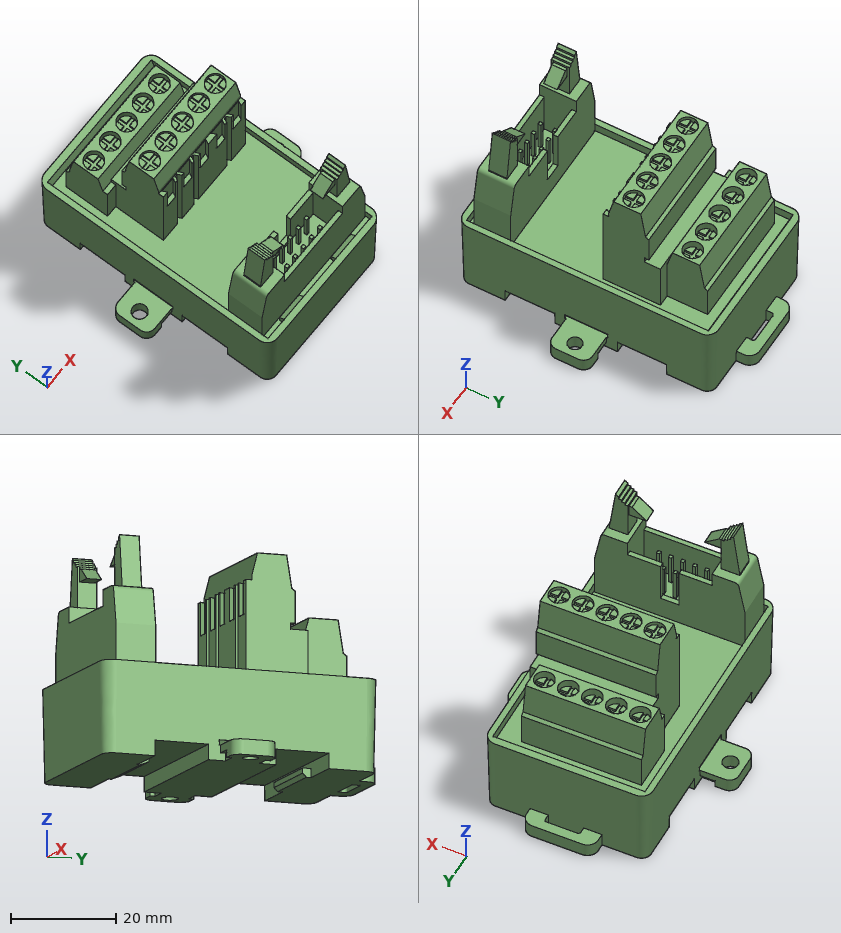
import cadquery as cq
import math

base_width = 34.0
base_length = 55.2
base_corner = 2.1
housing_height = 18.0
wall_draft = 0.4
draft_angle = math.degrees(math.atan(wall_draft / housing_height))

floor_z = 16.0
cavity_width = 32.2
cavity_front_y = -26.6
cavity_back_y = 26.4
cavity_back_slope = 0.65

foot_height = 3.0
rail_notches = ((-17.6, -6.7), (7.05, 17.8))

snap_width = 6.0
snap_offset = 8.0
snap_reach = 1.2
snap_drop = 1.0

hook_width = 15.2
back_hook_reach = 1.7
front_hook_reach = 2.45
front_hook_toe = 0.6
front_hook_tip_z = 1.4
front_hook_top_z = 1.55
back_hook_top_z = 1.75
hook_bevel = 0.75

tab_center_y = 0.2
tab_width = 8.9
tab_tip_x = 24.3
tab_corner = 2.0
tab_hole_x = 21.3
left_hole_diameter = 3.2
right_hole_diameter = 3.0
tab_relief_tip_x = 20.2
tab_relief_height = 1.5
tab_relief_depth = 1.0
tab_window_width = 9.4
tab_window_rise = 1.0

loop_width = 15.2
loop_tip_y = 31.51
loop_corner = 2.3
loop_slot_width = 7.5
loop_slot_end_y = 29.4
loop_slot_corner = 0.5

pole_pitch = 5.08
pole_count = 5
row_width = pole_pitch * pole_count
row_offset = pole_pitch / 4
lower_x = -row_offset
upper_x = row_offset

lower_front_y = 13.6
lower_top_z = 30.1
lower_shelf_z = 26.0
lower_well_diameter = 4.1
lower_well_depth = 1.7
upper_front_y = 2.15
upper_top_z = 41.4
upper_shelf_z = 36.1
upper_well_diameter = 4.13
upper_well_depth = 0.8

shelf_depth = 1.15
shelf_step = 0.9
front_lean = 2.3
top_depth = 5.95
back_lean = 1.05
back_lean_height = 6.4
back_bulge = 0.7
back_bulge_height = 0.5

bridge_back_y = 14.7
bridge_z = 27.1
undercut_z = 28.3
undercut_depth = 0.95

cross_width = 0.75
cross_depth = 0.5

pocket_mouth = 2.45
pocket_root = 3.4
pocket_depth = 1.0
pocket_height = 6.5
groove_mouth = 1.4
groove_root = 0.5
groove_depth = 0.9
grooved_joints = (1, 2, 4)

connector_width = 31.9
connector_front_y = -25.1
connector_depth = 8.1
connector_mid_y = connector_front_y + connector_depth / 2
connector_top_z = 33.05
connector_knee_z = 25.4
connector_lean = 1.45
shoulder_radius = 1.0
well_width = 17.9
well_length = 6.0
well_floor_z = 20.0
rim_z = 29.9
key_width = 3.9
key_floor_z = 21.0

pin_size = 0.7
pin_pitch = 2.54
pin_row_spacing = 3.2
pin_columns = 5
pin_top_z = 26.9

latch_width = 4.0
nose_width = 3.0
latch_outer_x = 13.85
latch_tip_x = 12.5
latch_tip_z = 43.25
latch_inner_x = 9.88
nose_tip_x = 6.12
nose_z = 38.2
ridge_count = 5
ridged_end_x = 9.2


def box(x0, x1, y0, y1, z0, z1):
    """Block given by its limits along each axis."""
    return cq.Workplane("XY").box(x1 - x0, y1 - y0, z1 - z0, centered=False).translate((x0, y0, z0))


def prism_along_x(points, width, center_x=0.0):
    """Solid with a (y, z) outline, centred on center_x."""
    start = cq.Workplane("YZ", origin=(center_x - width / 2, 0, 0))
    return start.polyline(points).close().extrude(width)


def prism_along_y(points, depth, center_y):
    """Solid with an (x, z) outline, centred on center_y."""
    start = cq.Workplane("XZ", origin=(0, center_y + depth / 2, 0))
    return start.polyline(points).close().extrude(depth)


def make_shell():
    """Drafted tray with an open top and rail notches across its underside."""
    outline = cq.Sketch().rect(base_width, base_length).vertices().fillet(base_corner)
    shell = cq.Workplane("XY").placeSketch(outline).extrude(housing_height, taper=-draft_angle)
    cavity = prism_along_x([
        (cavity_front_y, floor_z),
        (cavity_back_y - cavity_back_slope, floor_z),
        (cavity_back_y, housing_height),
        (cavity_front_y, housing_height),
    ], cavity_width)
    shell = shell.cut(cavity)
    for front_y, back_y in rail_notches:
        shell = shell.cut(box(-base_width, base_width, front_y, back_y, 0, foot_height))
    return shell


def make_mounting_tab(hole_diameter):
    """Side tab on -X, with its underside relieved along both flanks."""
    half = tab_width / 2
    tab = box(-tab_tip_x, 0, tab_center_y - half, tab_center_y + half, 0, foot_height)
    tab = tab.edges("|Z and <X").fillet(tab_corner)
    for side in (-1, 1):
        flank_y = tab_center_y + side * (half - tab_relief_depth / 2)
        relief = cq.Workplane("XY").box(tab_relief_tip_x, tab_relief_depth, tab_relief_height,
                                        centered=(False, True, False))
        tab = tab.cut(relief.translate((-tab_relief_tip_x, flank_y, 0)))
    hole = cq.Workplane("XY").center(-tab_hole_x, tab_center_y).circle(hole_diameter / 2).extrude(foot_height)
    return tab.cut(hole)


def make_tab_window():
    """Wedge of clearance above the -X tab, deepest at the outer face of the housing."""
    inner_x = -base_width / 2 + tab_window_rise
    outer_x = -base_width / 2 - wall_draft
    top_z = foot_height + tab_window_rise
    wedge = [(inner_x, foot_height), (outer_x, foot_height), (outer_x, top_z), (-base_width / 2, top_z)]
    return prism_along_y(wedge, tab_window_width, tab_center_y)


def make_release_loop():
    """Slotted tab behind the housing."""
    half = loop_width / 2
    loop = box(-half, half, rail_notches[1][1], loop_tip_y, 0, foot_height)
    loop = loop.edges("|Z and >Y").fillet(loop_corner)
    half_slot = loop_slot_width / 2
    slot = box(-half_slot, half_slot, base_length / 2, loop_slot_end_y, 0, foot_height)
    slot = slot.edges("|Z and >Y").fillet(loop_slot_corner)
    return loop.cut(slot)


def make_rail_hooks():
    """Hooks that reach into the rail notches from their far ends."""
    front_y = rail_notches[0][0]
    front_hook = prism_along_x([
        (front_y, 0),
        (front_y + front_hook_toe, 0),
        (front_y + front_hook_reach, hook_bevel),
        (front_y + front_hook_reach, front_hook_tip_z),
        (front_y, front_hook_top_z),
    ], hook_width)
    back_y = rail_notches[1][1]
    back_hook = prism_along_x([
        (back_y, 0),
        (back_y - back_hook_reach + hook_bevel, 0),
        (back_y - back_hook_reach, hook_bevel),
        (back_y - back_hook_reach, back_hook_top_z),
        (back_y, back_hook_top_z),
    ], hook_width)
    return front_hook.union(back_hook)


def make_snap(center_x):
    """Sloped snap on the front cavity wall."""
    inner_y = cavity_front_y + snap_reach
    return prism_along_x([
        (cavity_front_y, floor_z),
        (inner_y, floor_z),
        (inner_y, housing_height - snap_drop),
        (cavity_front_y, housing_height),
    ], snap_width, center_x)


def make_housing():
    body = make_shell()
    window = make_tab_window()
    body = body.cut(window).cut(window.mirror("YZ"))
    body = body.union(make_mounting_tab(left_hole_diameter))
    body = body.union(make_mounting_tab(right_hole_diameter).mirror("YZ"))
    body = body.union(make_release_loop()).union(make_rail_hooks())
    for center_x in (-snap_offset, snap_offset):
        body = body.union(make_snap(center_x))
    return body


def pole_positions(row_x):
    """X of each pole in a row."""
    first = row_x - pole_pitch * (pole_count - 1) / 2
    return [first + pole_pitch * index for index in range(pole_count)]


def head_outline(front_y, front_points, top_z):
    """Terminal row from the deck up its front, over the top and down to its bulging back."""
    top_front_y = front_y + front_lean
    top_back_y = top_front_y + top_depth
    lean_end_y = top_back_y + back_lean
    lean_end_z = top_z - back_lean_height
    return [(front_y, floor_z)] + front_points + [
        (top_front_y, top_z),
        (top_back_y, top_z),
        (lean_end_y, lean_end_z),
        (lean_end_y + back_bulge, lean_end_z - back_bulge_height),
    ]


def make_lower_row():
    shelf = [
        (lower_front_y, lower_shelf_z),
        (lower_front_y + shelf_depth, lower_shelf_z),
    ]
    outline = head_outline(lower_front_y, shelf, lower_top_z)
    back_y = outline[-1][0]
    return prism_along_x(outline + [(back_y, floor_z)], row_width, lower_x)


def make_upper_row():
    shelf_back_y = upper_front_y + shelf_depth
    shelf = [
        (upper_front_y, upper_shelf_z),
        (shelf_back_y, upper_shelf_z),
        (shelf_back_y, upper_shelf_z + shelf_step),
    ]
    outline = head_outline(upper_front_y, shelf, upper_top_z)
    back_y = outline[-1][0]
    outline += [
        (back_y, undercut_z),
        (back_y - undercut_depth, undercut_z),
        (back_y - undercut_depth, bridge_z),
        (bridge_back_y, bridge_z),
        (bridge_back_y, floor_z),
    ]
    return prism_along_x(outline, row_width, upper_x)


def make_screw_well(x, front_y, top_z, diameter, depth):
    """Round well over a crossed screw head."""
    y = front_y + front_lean + top_depth / 2
    floor = top_z - depth
    well = cq.Workplane("XY").circle(diameter / 2).extrude(depth)
    arm = cq.Workplane("XY").box(diameter, cross_width, cross_depth, centered=(True, True, False))
    cross = arm.union(arm.rotate((0, 0, 0), (0, 0, 1), 90))
    cross = cross.intersect(cq.Workplane("XY").circle(diameter / 2).extrude(cross_depth))
    return well.union(cross.translate((0, 0, -cross_depth))).translate((x, y, floor))


def make_front_recess(x, mouth, root, depth, bottom_z):
    """Recess in the front face of the upper row, running from bottom_z up to the shelf."""
    recess = cq.Workplane("XY", origin=(x, upper_front_y, bottom_z)).polyline([
        (-mouth / 2, 0),
        (mouth / 2, 0),
        (root / 2, depth),
        (-root / 2, depth),
    ])
    return recess.close().extrude(upper_shelf_z - bottom_z)


def make_terminal_block():
    block = make_lower_row().union(make_upper_row())
    for x in pole_positions(lower_x):
        well = make_screw_well(x, lower_front_y, lower_top_z, lower_well_diameter, lower_well_depth)
        block = block.cut(well)
    upper_poles = pole_positions(upper_x)
    for x in upper_poles:
        well = make_screw_well(x, upper_front_y, upper_top_z, upper_well_diameter, upper_well_depth)
        block = block.cut(well)
        pocket_z = upper_shelf_z - pocket_height
        block = block.cut(make_front_recess(x, pocket_mouth, pocket_root, pocket_depth, pocket_z))
    for joint in grooved_joints:
        x = upper_poles[joint] - pole_pitch / 2
        block = block.cut(make_front_recess(x, groove_mouth, groove_root, groove_depth, floor_z))
    return block


def make_connector_body():
    """Shrouded header with a tower at each end."""
    half = connector_width / 2
    body = prism_along_y([
        (-half, floor_z),
        (-half, connector_knee_z),
        (-half + connector_lean, connector_top_z),
        (half - connector_lean, connector_top_z),
        (half, connector_knee_z),
        (half, floor_z),
    ], connector_depth, connector_mid_y)
    body = body.faces(">Z").edges("|Y").fillet(shoulder_radius)
    half_well = well_width / 2
    back_y = connector_front_y + connector_depth
    body = body.cut(box(-half_well, half_well, connector_front_y, back_y, rim_z, connector_top_z))
    well_front_y = connector_mid_y - well_length / 2
    well_back_y = connector_mid_y + well_length / 2
    body = body.cut(box(-half_well, half_well, well_front_y, well_back_y, well_floor_z, rim_z))
    return body.cut(box(-key_width / 2, key_width / 2, well_back_y, back_y, key_floor_z, rim_z))


def make_pins():
    """Two rows of square contacts standing in the well."""
    pins = cq.Workplane("XY", origin=(0, connector_mid_y, well_floor_z))
    pins = pins.rarray(pin_pitch, pin_row_spacing, pin_columns, 2)
    return pins.rect(pin_size, pin_size).extrude(pin_top_z - well_floor_z)


def make_latch():
    """Latch on the -X tower: a leaning post with a stepped thumb rest and a pointed nose."""
    run = (latch_tip_x - ridged_end_x) / ridge_count
    drop = run * (latch_tip_z - nose_z) / (latch_tip_x - nose_tip_x)
    outline = [(-latch_outer_x, connector_top_z), (-latch_tip_x, latch_tip_z)]
    for step in range(1, ridge_count):
        x = -latch_tip_x + run * step
        z = latch_tip_z - drop * step
        outline += [(x, z), (x, z - drop)]
    outline += [
        (-ridged_end_x, latch_tip_z - drop * ridge_count),
        (-nose_tip_x, nose_z),
        (-latch_inner_x, nose_z),
        (-latch_inner_x, connector_top_z),
    ]
    post_limit = box(-latch_outer_x, -latch_inner_x, connector_front_y, 0, connector_top_z, latch_tip_z)
    post = prism_along_y(outline, latch_width, connector_mid_y).intersect(post_limit)
    return post.union(prism_along_y(outline, nose_width, connector_mid_y))


def make_connector():
    latch = make_latch()
    return make_connector_body().union(make_pins()).union(latch).union(latch.mirror("YZ"))


housing = make_housing()
terminal_block = make_terminal_block()
connector = make_connector()

result = cq.Compound.makeCompound([housing.val(), terminal_block.val(), connector.val()])